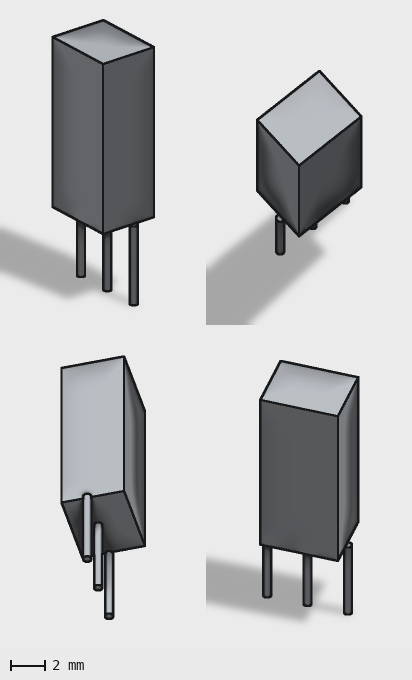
import cadquery as cq

total_height = 16.1
housing_width = 4.8
housing_depth = 3.8
housing_height = 11.0
pin_length = total_height - housing_height

pin_diameter = 0.48
pin_pitch = 2.5
pin_count = 3
pin_row_y = 0.3


def make_housing():
    """Plain rectangular block with its underside at Z = 0."""
    return cq.Workplane("XY").box(
        housing_width, housing_depth, housing_height, centered=(True, True, False)
    )


def make_pin(x):
    """Round pin hanging down from the plane of the housing's underside."""
    return cq.Workplane("XY").center(x, pin_row_y).circle(pin_diameter / 2).extrude(-pin_length)


housing = make_housing()

pins = []
for index in range(pin_count):
    x = (index - (pin_count - 1) / 2) * pin_pitch
    pins.append(make_pin(x))

result = cq.Compound.makeCompound([housing.val(), *[pin.val() for pin in pins]])